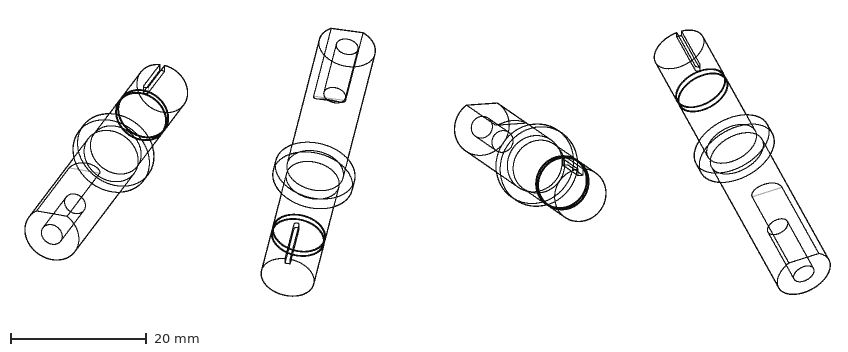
import cadquery as cq
import math

length = 47.5

front_diameter = 8.5
flange_diameter = 12.0
rear_diameter = 8.0

rear_length = 20.0
flange_thickness = 2.0
flange_rear = length - rear_length
flange_front = flange_rear - flange_thickness

groove_diameter = 7.7
groove_width = 0.9
groove_to_rear_face = 8.2
groove_start = length - groove_to_rear_face - groove_width

flat_height = 3.5
flat_length = 14.95
runout_radius = 1.0

slot_width = 0.75
slot_length = 7.4
slot_depth = 1.0

hole_diameter = 3.3
hole_depth = 9.98
drill_point_angle = 118.0


def cylinder_along_y(diameter, start, extent):
    """Solid cylinder on the shaft axis, from Y = start to Y = start + extent."""
    return cq.Workplane("XZ", origin=(0, start, 0)).circle(diameter / 2).extrude(-extent)


def turned_body():
    body = cylinder_along_y(front_diameter, 0, flange_front)
    body = body.union(cylinder_along_y(flange_diameter, flange_front, flange_thickness))
    body = body.union(cylinder_along_y(rear_diameter, flange_rear, rear_length))
    groove = cylinder_along_y(rear_diameter, groove_start, groove_width).cut(
        cylinder_along_y(groove_diameter, groove_start, groove_width)
    )
    return body.cut(groove)


def flat_cutter():
    """Material above the flat, ending in an arc tangent to the flat."""
    shaft_top = front_diameter / 2
    arc_center_height = flat_height + runout_radius
    arc_reach = math.sqrt(runout_radius**2 - (arc_center_height - shaft_top) ** 2)
    arc_center = flat_length - arc_reach
    diagonal = runout_radius * math.sqrt(0.5)
    return (
        cq.Workplane("YZ")
        .moveTo(0, flat_height)
        .lineTo(arc_center, flat_height)
        .threePointArc(
            (arc_center + diagonal, arc_center_height - diagonal),
            (arc_center + runout_radius, arc_center_height),
        )
        .lineTo(0, arc_center_height)
        .close()
        .extrude(front_diameter / 2, both=True)
    )


def slot_cutter():
    """Slot with a round inner end, cut down from the top of the rear section."""
    end_center = length - slot_length + slot_width / 2
    straight_length = length - end_center
    floor = cq.Workplane("XY", origin=(0, end_center, rear_diameter / 2 - slot_depth))
    straight = floor.center(0, straight_length / 2).rect(slot_width, straight_length).extrude(slot_depth)
    return straight.union(floor.circle(slot_width / 2).extrude(slot_depth))


def hole_cutter():
    """Blind drilled hole with a conical bottom."""
    radius = hole_diameter / 2
    tip_depth = hole_depth + radius / math.tan(math.radians(drill_point_angle / 2))
    return (
        cq.Workplane("XY")
        .polyline([(0, 0), (radius, 0), (radius, hole_depth), (0, tip_depth)])
        .close()
        .revolve(360, (0, 0, 0), (0, 1, 0))
    )


result = turned_body()
for cutter in (flat_cutter(), slot_cutter(), hole_cutter()):
    result = result.cut(cutter)